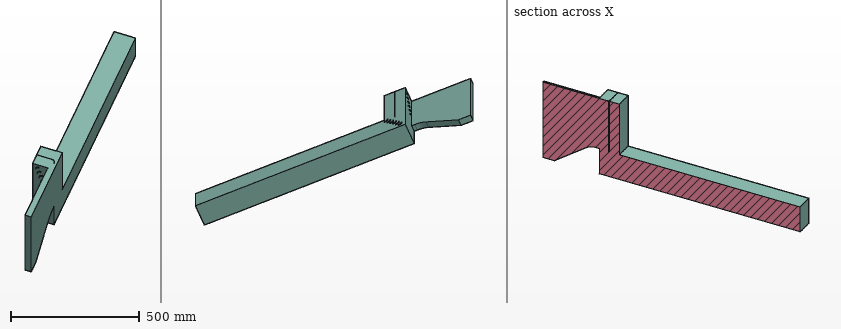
import cadquery as cq
import math

length = 1140.0
width = 90.0
height = 350.0

plate_reach = 250.0
plate_thickness = 26.0
arm_height = 116.0
plate_face = width - plate_thickness
post_back = plate_reach + width

toe_length = 51.0
bend_y = 211.0
bend_radius = 80.0

kerf_width = 0.9
arc_radius = 15.0
mark_depth = 3.0
mark_count = 6

front_step_x = 7.4
front_step_z = -24.0
front_first_x = plate_face - (mark_count - 1) * front_step_x
front_first_z = 318.0

left_step_y = -12.0
left_step_z = -16.0


def block(size_y, size_z, start_y):
    """Full-width block standing on the base plane."""
    return cq.Workplane("XY").box(width, size_y, size_z, centered=False).translate((0, start_y, 0))


def make_plate():
    return (
        cq.Workplane("YZ", origin=(plate_face, 0, 0))
        .polyline([
            (0, 0),
            (toe_length, 0),
            (bend_y, arm_height),
            (plate_reach, arm_height),
            (plate_reach, height),
            (0, height),
        ])
        .close()
        .extrude(plate_thickness)
        .edges(cq.selectors.NearestToPointSelector((width - plate_thickness / 2, bend_y, arm_height)))
        .fillet(bend_radius)
    )


def arc_band(plane, center, start_angle, depth):
    """Quarter-circle band of kerf width, extruded along the plane's normal."""
    def point(radius, angle):
        radians = math.radians(angle)
        return (center[0] + radius * math.cos(radians), center[1] + radius * math.sin(radians))

    outer = arc_radius + kerf_width / 2
    inner = arc_radius - kerf_width / 2
    middle_angle = start_angle + 45
    end_angle = start_angle + 90
    return (
        plane.moveTo(*point(outer, start_angle))
        .threePointArc(point(outer, middle_angle), point(outer, end_angle))
        .lineTo(*point(inner, end_angle))
        .threePointArc(point(inner, middle_angle), point(inner, start_angle))
        .close()
        .extrude(depth)
    )


def make_slit():
    """Vertical slit from the left face to the plate's plane, ending in a forward hook."""
    depth = height - arm_height
    middle_y = plate_reach + width / 2
    straight = (
        cq.Workplane("XY")
        .box(plate_face, kerf_width, depth, centered=(False, True, False))
        .translate((0, middle_y, arm_height))
    )
    hook_plane = cq.Workplane("XY", origin=(0, 0, arm_height))
    hook = arc_band(hook_plane, (plate_face, middle_y - arc_radius), 0, depth)
    return straight.union(hook)


result = block(width, height, plate_reach)
result = result.union(block(length - post_back, arm_height, post_back))
result = result.union(make_plate())
result = result.cut(make_slit())

front_plane = cq.Workplane("XZ", origin=(0, plate_reach, 0))
left_plane = cq.Workplane("YZ")
for index in range(mark_count):
    front_center = (front_first_x + index * front_step_x, front_first_z + index * front_step_z)
    left_center = (post_back + index * left_step_y, arm_height + index * left_step_z)
    result = result.cut(arc_band(front_plane, front_center, 90, -mark_depth))
    result = result.cut(arc_band(left_plane, left_center, 180, mark_depth))